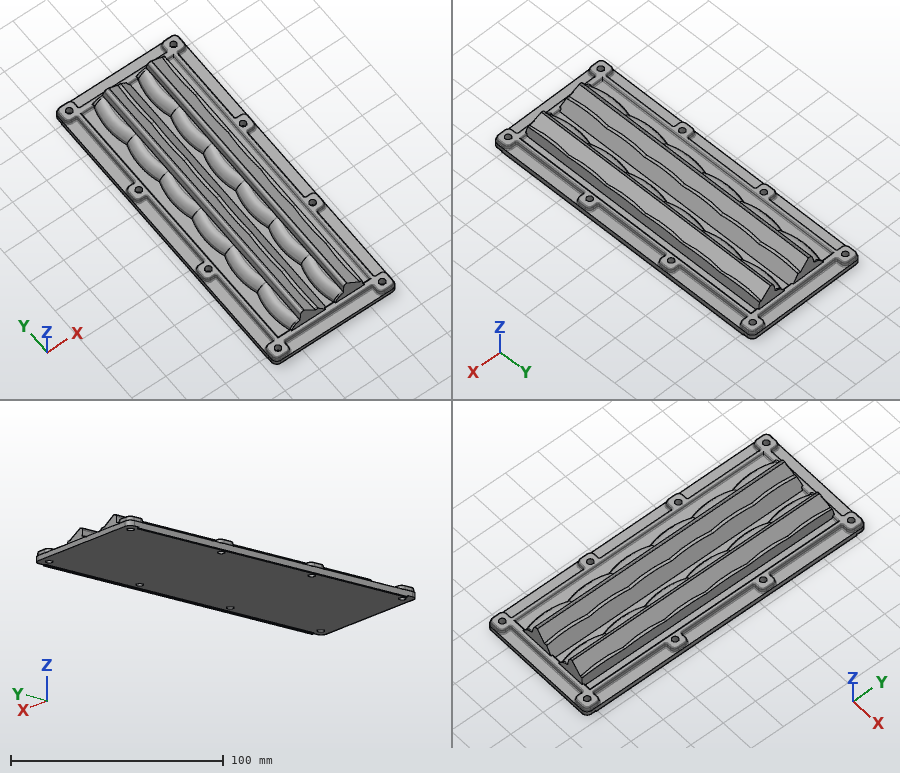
import cadquery as cq
import math

width = 71.7
length = 173.6
height = 13.9
corner_radius = 3.1
rail_height = 0.5
rail_width = 1.2
rail_end_gap = 5.9
ledge_z = 3.1

frame_top_z = 5.5
frame_outer_x = 29.7
frame_inner_x = 26.9
frame_outer_y = 80.7
frame_inner_y = 77.0
floor_z = 4.3
frame_draft = 8.0
frame_fillet = 0.5
boss_edge_inset = 0.3
boss_reach = 4.9
boss_corner_radius = 2.6
boss_junction_radius = 0.9
hole_diameter = 3.5
hole_x = 30.5
hole_y = 81.8
holes_per_side = 4

louver_half_length = 78.3
louver_end_draft = 10.0
scallop_count = 6
scallop_pitch = 25.5
scallop_depth = 2.0
shelf_mid_z = 9.9
shelf_drop = 0.5
ridge_fillet = 1.7

bulge_toe_run = 0.3
bulge_toe_z = 5.5
bulge_arc_run = 6.3
bulge_top_z = 9.2
bulge_sweep = 60.0


def arc_radius(chord, sagitta):
    """Radius of a circular arc with the given chord and sagitta."""
    return (chord**2 / 4 + sagitta**2) / (2 * sagitta)


def rounded_block(bottom_z, top_z):
    """Block with the rounded outline of the plate."""
    block = cq.Workplane("XY").workplane(offset=bottom_z).rect(width, length).extrude(top_z - bottom_z)
    return block.edges("|Z").fillet(corner_radius)


def make_rails():
    """Low rail under each long side."""
    rail_x = (width - rail_width) / 2
    return (
        cq.Workplane("XY")
        .pushPoints([(-rail_x, 0), (rail_x, 0)])
        .rect(rail_width, length - 2 * rail_end_gap)
        .extrude(rail_height)
    )


def hole_points():
    """Screw positions, evenly spaced along both long sides."""
    spacing = 2 * hole_y / (holes_per_side - 1)
    return [
        (side * hole_x, -hole_y + i * spacing)
        for side in (-1, 1)
        for i in range(holes_per_side)
    ]


def round_junctions(frame):
    """Round the hollow corners where the boss flanks leave the rim."""
    corners = []
    for x, y in hole_points():
        for end in (-1, 1):
            corners.append((math.copysign(frame_outer_x, x), y + end * boss_reach))
    for side in (-1, 1):
        for end in (-1, 1):
            corners.append((side * (hole_x - boss_reach), end * frame_outer_y))
    margin = boss_junction_radius
    edges = frame.newObject([])
    for x, y in corners:
        low_corner = (x - margin, y - margin, ledge_z)
        high_corner = (x + margin, y + margin, frame_top_z)
        box = cq.selectors.BoxSelector(low_corner, high_corner)
        edges = edges.add(frame.edges("not #Z").edges(box))
    return edges.fillet(boss_junction_radius)


def make_frame():
    """Rectangular rim that widens into a rounded boss at every screw."""
    rim_height = frame_top_z - ledge_z
    level = cq.Workplane("XY").workplane(offset=ledge_z)
    frame = level.rect(2 * frame_outer_x, 2 * frame_outer_y).extrude(rim_height, taper=frame_draft)
    boss_limit_x = width / 2 - boss_edge_inset
    boss_limit_y = length / 2 - boss_edge_inset
    for x, y in hole_points():
        side = math.copysign(1, x)
        x_inner = hole_x - boss_reach
        y_low = max(y - boss_reach, -boss_limit_y)
        y_high = min(y + boss_reach, boss_limit_y)
        boss = (
            level.center(side * (x_inner + boss_limit_x) / 2, (y_low + y_high) / 2)
            .rect(boss_limit_x - x_inner, y_high - y_low)
            .extrude(rim_height, taper=frame_draft)
            .edges("not #Z")
            .fillet(boss_corner_radius)
        )
        frame = frame.union(boss)
    frame = round_junctions(frame)
    opening = level.rect(2 * frame_inner_x, 2 * frame_inner_y).extrude(rim_height)
    opening = opening.translate((0, 0, floor_z - ledge_z))
    return frame.cut(opening).faces(">Z").edges().fillet(frame_fillet)


def extrude_along_y(outline):
    """Extrude an XZ outline over the full louver length, centred on Y = 0."""
    return outline.extrude(louver_half_length, both=True)


def make_ridge(wall_foot_x, wall_top_x, slope_top_x, slope_foot_x, slope_foot_z):
    """Prism with a steep wall on the -X side, a rounded crest edge and a long slope towards +X."""
    ridge = extrude_along_y(
        cq.Workplane("XZ")
        .moveTo(wall_foot_x, floor_z)
        .lineTo(wall_top_x, height)
        .lineTo(slope_top_x, height)
        .lineTo(slope_foot_x, slope_foot_z)
        .lineTo(slope_foot_x, floor_z)
        .close()
    )
    return ridge.edges(">Z").edges("<X").fillet(ridge_fillet)


def make_shelf(inner_x, outer_top_x, outer_foot_x):
    """Low step on the +X side, its top gently crowned once per scallop."""
    outline = (
        cq.Workplane("XZ")
        .moveTo(inner_x, floor_z)
        .lineTo(inner_x, shelf_mid_z)
        .lineTo(outer_top_x, shelf_mid_z)
        .lineTo(outer_foot_x, floor_z)
        .close()
    )
    cusp_z = shelf_mid_z - shelf_drop
    y = -scallop_count * scallop_pitch / 2
    crown = (
        cq.Workplane("YZ")
        .moveTo(-louver_half_length, floor_z)
        .lineTo(-louver_half_length, cusp_z)
        .lineTo(y, cusp_z)
    )
    for _ in range(scallop_count):
        crown = crown.threePointArc((y + scallop_pitch / 2, shelf_mid_z), (y + scallop_pitch, cusp_z))
        y += scallop_pitch
    crown = crown.lineTo(louver_half_length, cusp_z).lineTo(louver_half_length, floor_z).close()
    crowned = crown.extrude(outer_foot_x - inner_x).translate((inner_x, 0, 0))
    return extrude_along_y(outline).intersect(crowned)


def bulge_outline(foot_x, back_x):
    """Cross-section of a bulge: a steep toe, then an arc that runs smoothly into a flat top."""
    return (
        cq.Workplane("XZ")
        .moveTo(foot_x, floor_z)
        .lineTo(back_x, floor_z)
        .lineTo(back_x, bulge_top_z)
        .lineTo(foot_x + bulge_arc_run, bulge_top_z)
        .tangentArcPoint((foot_x + bulge_toe_run, bulge_toe_z), relative=False)
        .close()
    )


def make_bulges(foot_x, back_x):
    """Row of bulges on the -X side, each one revolved about its own vertical axis."""
    axis_x = foot_x + arc_radius(scallop_pitch, scallop_depth)
    bulge = (
        bulge_outline(foot_x, back_x)
        .revolve(bulge_sweep, (axis_x, 0), (axis_x, 1))
        .rotate((axis_x, 0, 0), (axis_x, 0, 1), -bulge_sweep / 2)
    )
    bulge_count = scallop_count + 2
    row = bulge.translate((0, -(bulge_count - 1) / 2 * scallop_pitch, 0))
    for i in range(1, bulge_count):
        row = row.union(bulge.translate((0, (i - (bulge_count - 1) / 2) * scallop_pitch, 0)))
    return row


def make_base():
    """Plate with the frame rising from it, the frame foot blended into the plate."""
    slab = (
        cq.Workplane("XY")
        .workplane(offset=rail_height)
        .rect(2 * width, 2 * length)
        .extrude(ledge_z - rail_height)
    )
    body = slab.union(make_frame())
    margin = frame_fillet / 3
    low_corner = (-width / 2, -length / 2, ledge_z - margin)
    high_corner = (width / 2, length / 2, floor_z + margin)
    foot = cq.selectors.BoxSelector(low_corner, high_corner)
    body = body.edges(foot).fillet(frame_fillet)
    return body.intersect(rounded_block(rail_height, height)).union(make_rails())


def trim_ends(louver):
    """Slope both ends of a louver inwards towards its crest."""
    top_half_length = louver_half_length - (height - floor_z) * math.tan(math.radians(louver_end_draft))
    envelope = (
        cq.Workplane("YZ")
        .moveTo(-louver_half_length, floor_z)
        .lineTo(-top_half_length, height)
        .lineTo(top_half_length, height)
        .lineTo(louver_half_length, floor_z)
        .close()
        .extrude(width / 2, both=True)
    )
    return louver.intersect(envelope)


left_louver = (
    make_ridge(wall_foot_x=-15.5, wall_top_x=-13.4, slope_top_x=-11.3, slope_foot_x=-4.7, slope_foot_z=8.9)
    .union(make_shelf(inner_x=-7.8, outer_top_x=-4.2, outer_foot_x=1.4))
    .union(make_bulges(foot_x=-21.9, back_x=-11.8))
)
right_louver = (
    make_ridge(wall_foot_x=10.6, wall_top_x=11.8, slope_top_x=13.7, slope_foot_x=20.8, slope_foot_z=9.2)
    .union(make_shelf(inner_x=18.2, outer_top_x=21.7, outer_foot_x=23.1))
    .union(make_bulges(foot_x=3.8, back_x=13.5))
)
holes = cq.Workplane("XY").pushPoints(hole_points()).circle(hole_diameter / 2).extrude(height)
result = make_base().union(trim_ends(left_louver)).union(trim_ends(right_louver)).cut(holes)